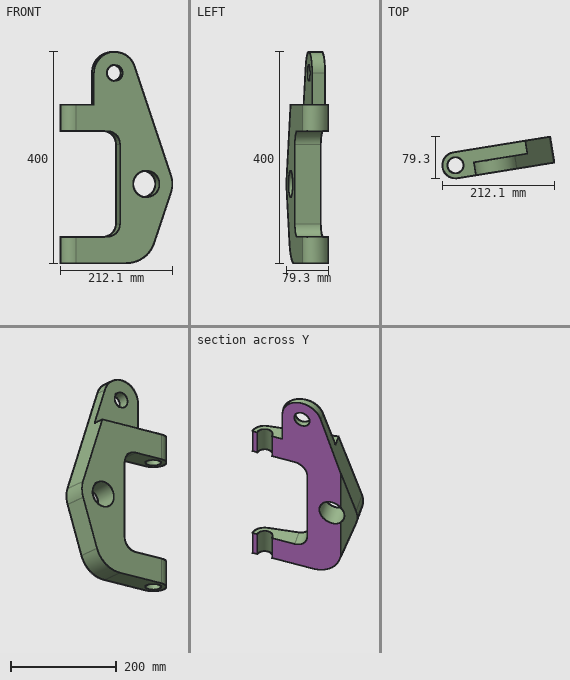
import cadquery as cq
import math

thickness = 50.0
body_height = 300.0
arm_height = 50.0
slot_end = 85.0
slot_radius = 25.0
foot_radius = 56.0
plate_angle = 9.2

pivot_u = 135.5
pivot_z = body_height / 2
nose_radius = 50.0
pivot_diameter = 50.0

lug_u = 75.0
lug_z = 360.0
lug_radius = 40.0
lug_thickness = thickness / 2
pin_diameter = 30.0

center_distance = math.hypot(pivot_u - lug_u, lug_z - pivot_z)
slope_angle = math.atan2(pivot_u - lug_u, lug_z - pivot_z) + math.asin(
    (nose_radius - lug_radius) / center_distance
)
normal_u = math.cos(slope_angle)
normal_z = math.sin(slope_angle)
nose_tangent_u = pivot_u + nose_radius * normal_u
nose_tangent_rise = nose_radius * normal_z
lug_tangent = (lug_u + lug_radius * normal_u, lug_z + lug_radius * normal_z)
corner_u = nose_tangent_u - (body_height / 2 - nose_tangent_rise) * math.tan(slope_angle)

front_face = cq.Workplane("XZ", origin=(0, -thickness / 2, 0))


def make_body():
    hinge_radius = thickness / 2
    body = (
        front_face.moveTo(0, 0)
        .lineTo(corner_u, 0)
        .lineTo(nose_tangent_u, pivot_z - nose_tangent_rise)
        .threePointArc((pivot_u + nose_radius, pivot_z), (nose_tangent_u, pivot_z + nose_tangent_rise))
        .lineTo(corner_u, body_height)
        .lineTo(0, body_height)
        .close()
        .extrude(-thickness)
        .edges(cq.selectors.NearestToPointSelector((corner_u, 0, 0)))
        .fillet(foot_radius)
    )
    hinge = cq.Workplane("XY").circle(hinge_radius).extrude(body_height)
    return body.union(hinge)


def make_slot():
    """Opening between the two hinge arms, rounded at its inner corners."""
    slot_start = -thickness
    return (
        cq.Workplane("XY")
        .box(
            slot_end - slot_start,
            2 * thickness,
            body_height - 2 * arm_height,
            centered=(False, True, False),
        )
        .translate((slot_start, 0, arm_height))
        .edges(">X and |Y")
        .fillet(slot_radius)
    )


def make_lug():
    lug_left = lug_u - lug_radius
    return (
        front_face.moveTo(lug_left, body_height)
        .lineTo(corner_u, body_height)
        .lineTo(*lug_tangent)
        .threePointArc((lug_u, lug_z + lug_radius), (lug_left, lug_z))
        .close()
        .extrude(-lug_thickness)
    )


def cross_hole(u, z, diameter):
    return front_face.center(u, z).circle(diameter / 2).extrude(-thickness)


hinge_hole = cq.Workplane("XY").circle(pin_diameter / 2).extrude(body_height)

result = (
    make_body()
    .cut(make_slot())
    .union(make_lug())
    .cut(hinge_hole)
    .cut(cross_hole(pivot_u, pivot_z, pivot_diameter))
    .cut(cross_hole(lug_u, lug_z, pin_diameter))
    .rotate((0, 0, 0), (0, 0, 1), plate_angle)
)